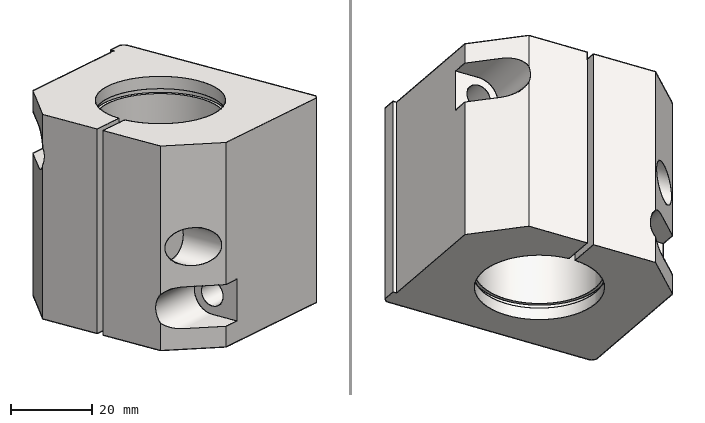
import cadquery as cq

width = 60.0
depth = 50.0
height = 54.0

lip_step = 1.0
lip_length = 5.0
rear_chamfer = 1.0
front_chamfer = 11.5

bore_diameter = 32.0
slit_width = 1.75

groove_diameter = 33.7
groove_width = 1.3
groove_inset = 3.25

screw_x = 22.5
screw_z = 16.0
screw_diameter = 6.6
screw_head_diameter = 11.0
screw_seat_depth = 16.0

clamp_recess_diameter = 10.0
clamp_recess_y = -19.25
clamp_recess_depth = 12.5

right = width / 2
left = -right
side = left + lip_step
rear = depth / 2
front = -rear
top = height / 2
bottom = -top
clamp_recess_floor_x = right - clamp_recess_depth


def make_body():
    """Block with a locating lip at the rear and large chamfers at the front."""
    outline = [
        (left + rear_chamfer, rear),
        (right - rear_chamfer, rear),
        (right, rear - rear_chamfer),
        (right, front + front_chamfer),
        (right - front_chamfer, front),
        (side + front_chamfer, front),
        (side, front + front_chamfer),
        (side, rear - lip_length),
        (left, rear - lip_length),
        (left, rear - rear_chamfer),
    ]
    return cq.Workplane("XY", origin=(0, 0, bottom)).polyline(outline).close().extrude(height)


def cylinder_along_z(diameter, z_start, length):
    return cq.Workplane("XY", origin=(0, 0, z_start)).circle(diameter / 2).extrude(length)


def make_split_bore():
    """Through bore, its two ring grooves and the slit opening it to the front."""
    bore = cylinder_along_z(bore_diameter, bottom, height)
    for groove_start in (bottom + groove_inset, top - groove_inset - groove_width):
        bore = bore.union(cylinder_along_z(groove_diameter, groove_start, groove_width))
    slit_length = depth / 2
    slit = cq.Workplane("XY", origin=(0, -slit_length / 2, 0)).box(slit_width, slit_length, height)
    return bore.union(slit)


def make_screw_hole(direction):
    """Through hole with a round-ended head pocket that opens to the +X (1) or -X (-1) side."""
    x = direction * screw_x
    z = -direction * screw_z
    hole = cq.Workplane("XZ", origin=(x, rear, z)).circle(screw_diameter / 2).extrude(depth)
    pocket_plane = cq.Workplane("XZ", origin=(x, front + screw_seat_depth, z))
    round_end = pocket_plane.circle(screw_head_diameter / 2).extrude(screw_seat_depth)
    opening_length = right - screw_x
    opening = (
        pocket_plane.center(direction * opening_length / 2, 0)
        .rect(opening_length, screw_head_diameter)
        .extrude(screw_seat_depth)
    )
    return hole.union(round_end).union(opening)


def make_clamp_recess():
    """Blind round recess for the head of the clamping screw."""
    return (
        cq.Workplane("YZ", origin=(clamp_recess_floor_x, clamp_recess_y, 0))
        .circle(clamp_recess_diameter / 2)
        .extrude(clamp_recess_depth)
    )


result = make_body().cut(make_split_bore())
for screw_direction in (-1, 1):
    result = result.cut(make_screw_hole(screw_direction))
result = result.cut(make_clamp_recess())